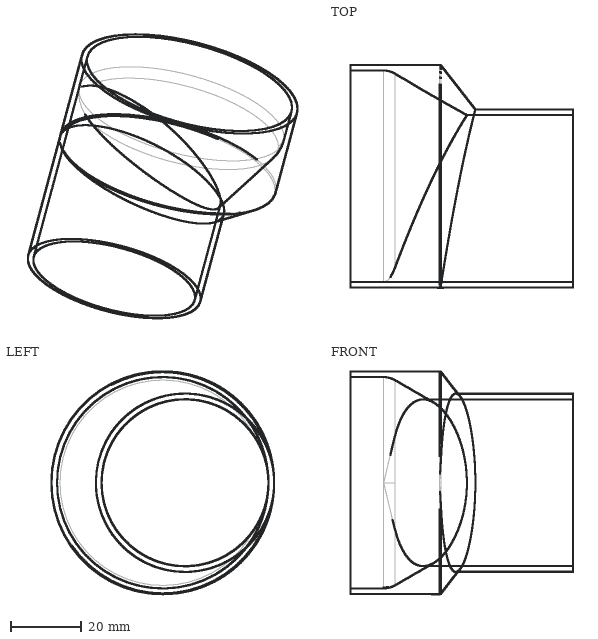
import cadquery as cq
import math

length = 63.5
large_diameter = 63.5
small_diameter = 50.8
wall = 1.65

outer_straight = 25.4
outer_cone_angle = 52.0
outer_round = 0.65

bore_straight = 9.5
bore_cone_angle = 30.0
bore_round = 6.35

cone_tip_radius = 9.5

large_radius = large_diameter / 2
small_radius = small_diameter / 2

small_axis_y = small_radius - large_radius


def large_end(radius, straight, cone_angle, round_radius):
    """Cylinder about X from x = 0, rounded into a cone that tapers towards +X."""
    half_angle = math.radians(cone_angle)

    def round_point(angle):
        return (
            straight + round_radius * math.sin(angle),
            radius - round_radius * (1 - math.cos(angle)),
        )

    cone_start_x, cone_start_radius = round_point(half_angle)
    cone_end_x = cone_start_x + (cone_start_radius - cone_tip_radius) / math.tan(half_angle)
    return (
        cq.Workplane("XY")
        .lineTo(0, radius)
        .lineTo(straight, radius)
        .threePointArc(round_point(half_angle / 2), (cone_start_x, cone_start_radius))
        .lineTo(cone_end_x, cone_tip_radius)
        .lineTo(cone_end_x, 0)
        .close()
        .revolve(360, (0, 0, 0), (1, 0, 0))
    )


def small_end(radius, start_x):
    """Cylinder on the offset axis, from start_x to the small end of the reducer."""
    return (
        cq.Workplane("YZ", origin=(start_x, small_axis_y, 0))
        .circle(radius)
        .extrude(length - start_x)
    )


outside = large_end(large_radius, outer_straight, outer_cone_angle, outer_round).union(
    small_end(small_radius, outer_straight)
)

bore = large_end(large_radius - wall, bore_straight, bore_cone_angle, bore_round).union(
    small_end(small_radius - wall, bore_straight)
)

result = outside.cut(bore)